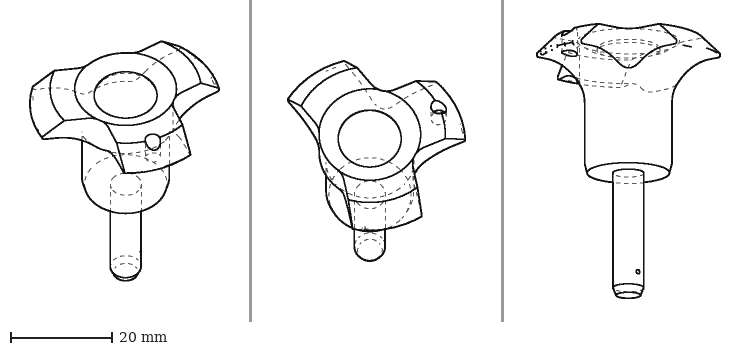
import cadquery as cq
import math

total_height = 52.0
handle_height = 27.0

wing_radius = 19.0
wing_width = 14.0
wing_spread = 103
wing_angles = (0, wing_spread, -wing_spread)
wing_top_radius = 15.0
wing_thickness = 4.75
rim_fillet = 0.45
hub_blend_radius = 3.9

barrel_radius = 8.7
flare_radius = 7.7
barrel_chamfer_width = 0.5
barrel_chamfer_height = 2.05

recess_radius = 10.1
recess_step_radius = 8.05
recess_step_depth = 1.25
recess_floor_depth = 1.85
button_radius = 6.25
button_edge_fillet = 0.85
button_dome_rise = 0.3

hole_diameter = 3.0
hole_distance = wing_top_radius

pin_radius = 3.05
pin_chamfer_width = 0.6
pin_chamfer_height = 1.55
ball_radius = 0.5
ball_protrusion = 0.2
ball_height_above_tip = 4.2

half_width = wing_width / 2
rim_clearance = 2.6
prism_length = wing_radius + rim_clearance
half_gap = wing_spread / 2
blend_centre_distance = (half_width + hub_blend_radius) / math.sin(math.radians(half_gap))
hub_radius = blend_centre_distance - hub_blend_radius


def point_on_circle(centre, radius, angle):
    """Point of a circle at the given angle in degrees."""
    radians = math.radians(angle)
    return (
        centre[0] + radius * math.cos(radians),
        centre[1] + radius * math.sin(radians),
    )


def turn(point, angle):
    """Point turned about the origin by the given angle in degrees."""
    radians = math.radians(angle)
    return (
        point[0] * math.cos(radians) - point[1] * math.sin(radians),
        point[0] * math.sin(radians) + point[1] * math.cos(radians),
    )


def mirror(point):
    """Point mirrored across the X axis."""
    return (point[0], -point[1])


def make_handle_body():
    """Round handle: flange with a 45 degree slope, flare and chamfered barrel."""
    slope_drop = wing_radius - wing_top_radius
    upper_setback = rim_fillet * math.tan(math.pi / 8)
    upper_centre = (wing_radius - rim_fillet, -slope_drop - upper_setback)
    lower_centre = (wing_radius - rim_fillet, rim_fillet - wing_thickness)
    flare_centre = (barrel_radius + flare_radius, -wing_thickness - flare_radius)
    return (
        cq.Workplane("XZ")
        .lineTo(wing_top_radius, 0)
        .lineTo(*point_on_circle(upper_centre, rim_fillet, 45))
        .threePointArc(
            point_on_circle(upper_centre, rim_fillet, 22.5),
            point_on_circle(upper_centre, rim_fillet, 0),
        )
        .lineTo(*point_on_circle(lower_centre, rim_fillet, 0))
        .threePointArc(
            point_on_circle(lower_centre, rim_fillet, -45),
            point_on_circle(lower_centre, rim_fillet, -90),
        )
        .lineTo(*point_on_circle(flare_centre, flare_radius, 90))
        .threePointArc(
            point_on_circle(flare_centre, flare_radius, 135),
            point_on_circle(flare_centre, flare_radius, 180),
        )
        .lineTo(barrel_radius, barrel_chamfer_height - handle_height)
        .lineTo(barrel_radius - barrel_chamfer_width, -handle_height)
        .lineTo(0, -handle_height)
        .close()
        .revolve(360, (0, 0, 0), (0, 1, 0))
    )


def make_plan_prism():
    """Prism of the three wings and the round hub, joined by concave blends."""
    blend_centre = point_on_circle((0, 0), blend_centre_distance, half_gap)
    foot = point_on_circle((0, 0), hub_radius, half_gap)
    blend_middle = point_on_circle(blend_centre, hub_blend_radius, half_gap / 2 - 135)
    root = point_on_circle(blend_centre, hub_blend_radius, -90)
    tip = (prism_length, half_width)

    outline = cq.Workplane("XY").moveTo(*mirror(foot))
    for angle in wing_angles:
        outline = (
            outline.threePointArc(turn(mirror(blend_middle), angle), turn(mirror(root), angle))
            .lineTo(*turn(mirror(tip), angle))
            .lineTo(*turn(tip, angle))
            .lineTo(*turn(root, angle))
            .threePointArc(turn(blend_middle, angle), turn(foot, angle))
        )
        if angle == wing_spread:
            outline = outline.threePointArc((-hub_radius, 0), turn(mirror(foot), -angle))
    return outline.close().extrude(-handle_height)


def make_recess():
    """Two-step conical dish whose floor is the rounded, domed button."""
    shoulder_radius = button_radius - button_edge_fillet
    shoulder_z = button_edge_fillet - recess_floor_depth
    fillet_centre = (shoulder_radius, -recess_floor_depth)
    dome_radius = (shoulder_radius**2 + button_dome_rise**2) / (2 * button_dome_rise)
    dome_top_z = shoulder_z + button_dome_rise
    half_radius = shoulder_radius / 2
    half_z = dome_top_z - dome_radius + math.sqrt(dome_radius**2 - half_radius**2)
    return (
        cq.Workplane("XZ")
        .moveTo(0, 0)
        .lineTo(recess_radius, 0)
        .lineTo(recess_step_radius, -recess_step_depth)
        .lineTo(button_radius, -recess_floor_depth)
        .threePointArc(
            point_on_circle(fillet_centre, button_edge_fillet, 45),
            (shoulder_radius, shoulder_z),
        )
        .threePointArc((half_radius, half_z), (0, dome_top_z))
        .close()
        .revolve(360, (0, 0, 0), (0, 1, 0))
    )


def make_wing_hole():
    """Plain hole through the flange of the +X wing."""
    return (
        cq.Workplane("XY")
        .center(hole_distance, 0)
        .circle(hole_diameter / 2)
        .extrude(-handle_height)
    )


def make_pin():
    """Straight pin with a conical tip and a small locking ball."""
    shank = (
        cq.Workplane("XZ")
        .moveTo(0, -handle_height)
        .lineTo(pin_radius, -handle_height)
        .lineTo(pin_radius, pin_chamfer_height - total_height)
        .lineTo(pin_radius - pin_chamfer_width, -total_height)
        .lineTo(0, -total_height)
        .close()
        .revolve(360, (0, 0, 0), (0, 1, 0))
    )
    ball_y = pin_radius + ball_protrusion - ball_radius
    ball = cq.Workplane("XY").sphere(ball_radius)
    ball = ball.translate((0, ball_y, ball_height_above_tip - total_height))
    return shank.union(ball)


handle = make_handle_body().intersect(make_plan_prism())
handle = handle.cut(make_recess()).cut(make_wing_hole())
result = handle.union(make_pin())